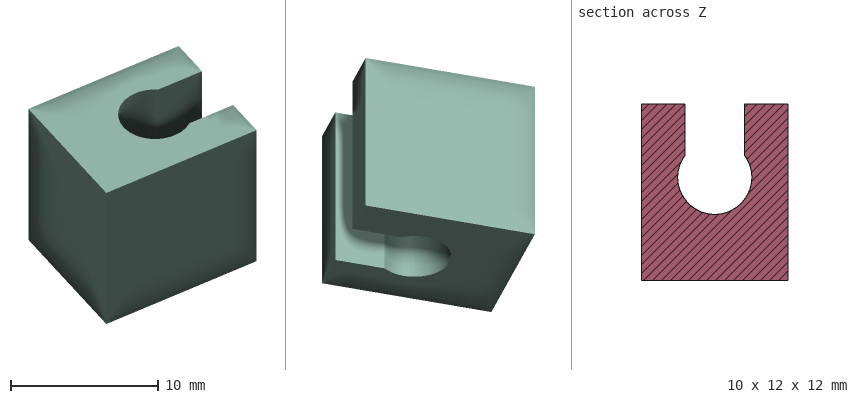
import cadquery as cq

width = 10.0
depth = 12.0
height = 12.0

seat_diameter = 5.0
seat_to_back = 5.0
slot_width = 4.0

back_y = depth / 2
seat_y = back_y - seat_to_back


def make_block():
    """Rectangular body centred in X and Y, standing on Z = 0."""
    return cq.Workplane("XY").box(width, depth, height, centered=(True, True, False))


def make_seat():
    """Vertical round seat running through the full height."""
    return cq.Workplane("XY").center(0, seat_y).circle(seat_diameter / 2).extrude(height)


def make_entry_slot():
    """Straight slot from the seat axis out to the back face."""
    slot_centre_y = (seat_y + back_y) / 2
    return (
        cq.Workplane("XY")
        .center(0, slot_centre_y)
        .rect(slot_width, seat_to_back)
        .extrude(height)
    )


result = make_block().cut(make_seat()).cut(make_entry_slot())